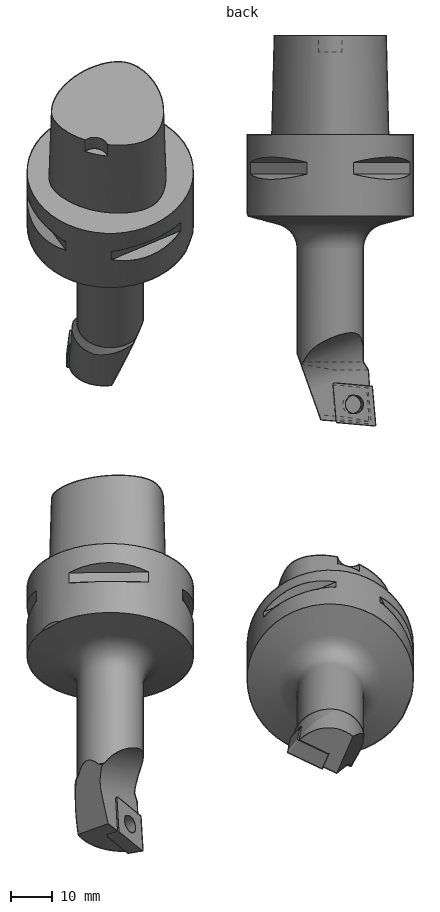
import cadquery as cq
import math

TOP_Z = 94.0
FLANGE_TOP_Z = 70.1
FLANGE_BOTTOM_Z = 50.6
HEAD_CHAMFER_TOP_Z = 15.4
HEAD_CHAMFER_BOTTOM_Z = 13.4

LOBE_RADIUS = 14.1
LOBE_RISE = 0.89
TAPER_PER_LENGTH = 1 / 40
LOBE_SIDES = 6
SPLINE_STEPS = 12
NOTCH_RADIUS = 3.3
NOTCH_CENTER_Y = -14.2
NOTCH_DEPTH = 4.0

FLANGE_RADIUS = 40.0 / 2
FLANGE_CONE_ANGLE = 15.0
NECK_FILLET = 6.0
SHANK_RADIUS = 16.0 / 2
SLOT_Z = 62.0
SLOT_FLOOR_DISTANCE = 17.6
SLOT_FLOOR_HEIGHT = 2.8
SLOT_MOUTH_HEIGHT = 5.4
SLOT_COUNT = 4

HEAD_RADIUS = 9.1
HEAD_STOCK = 0.9
HEAD_OFFSET_X = -0.9
HEAD_CONE_TOP_RADIUS = 9.2
HEAD_CONE_ANGLE = 4.0
BACK_ANGLE = 19.6
BACK_START_Z = 17.5
END_SLOPE_X = 0.09
END_SLOPE_Y = 0.12
END_Z = 0.42
FLUTE_RADIUS = 11.3
FLUTE_TANGENT_Z = 10.5
FLUTE_TILT = 20.0
CUT_SIZE = 37.6

TIP_X = -11.0
RAKE_ANGLE = 9.0
INSERT_PROUD = 0.5
INSERT_EDGE = 9.7
INSERT_LEAN = 5.0
INSERT_THICKNESS = 3.95
INSERT_CLEARANCE = 7.0
INSERT_NOSE_RADIUS = 0.4
INSERT_HOLE_DIAMETER = 4.4

HALF_NOSE_ANGLE = math.radians(45 - INSERT_LEAN)
TIP_Z = INSERT_NOSE_RADIUS * (1 - math.sin(math.pi / 4) / math.sin(HALF_NOSE_ANGLE))

RAKE_COS = math.cos(math.radians(RAKE_ANGLE))
RAKE_SIN = math.sin(math.radians(RAKE_ANGLE))


def lobed_outline(height):
    """Closed constant-width curve with three lobes, one of them on +Y."""
    radius = LOBE_RADIUS - TAPER_PER_LENGTH * (height - FLANGE_TOP_Z)

    def point(angle):
        along = radius * math.cos(angle) + LOBE_RISE * (2 * math.cos(2 * angle) - math.cos(4 * angle))
        across = radius * math.sin(angle) - LOBE_RISE * (2 * math.sin(2 * angle) + math.sin(4 * angle))
        return cq.Vector(-across, along, height)

    span = 2 * math.pi / LOBE_SIDES
    edges = []
    for index in range(LOBE_SIDES):
        start = (index - 0.5) * span
        points = [point(start + span * step / SPLINE_STEPS) for step in range(SPLINE_STEPS + 1)]
        edges.append(cq.Edge.makeSpline(points))
    return cq.Wire.assembleEdges(edges)


def make_coupling():
    outlines = [lobed_outline(FLANGE_TOP_Z), lobed_outline(TOP_Z)]
    taper = cq.Workplane(cq.Solid.makeLoft(outlines, True))
    notch = (
        cq.Workplane("XY", origin=(0, NOTCH_CENTER_Y, TOP_Z - NOTCH_DEPTH))
        .circle(NOTCH_RADIUS)
        .extrude(NOTCH_DEPTH)
    )
    return taper.cut(notch)


def make_flange_and_shank():
    """Revolved flange, cone, neck fillet and shank."""
    cone_angle = math.radians(FLANGE_CONE_ANGLE)
    corner_z = FLANGE_BOTTOM_Z - (FLANGE_RADIUS - SHANK_RADIUS) * math.tan(cone_angle)
    tangent_length = NECK_FILLET * math.tan((math.pi / 2 - cone_angle) / 2)
    fillet_x = SHANK_RADIUS + NECK_FILLET
    fillet_z = corner_z - tangent_length
    mid_angle = math.pi - (math.pi / 2 - cone_angle) / 2
    fillet_middle = (
        fillet_x + NECK_FILLET * math.cos(mid_angle),
        fillet_z + NECK_FILLET * math.sin(mid_angle),
    )
    fillet_top = (
        SHANK_RADIUS + tangent_length * math.cos(cone_angle),
        corner_z + tangent_length * math.sin(cone_angle),
    )
    return (
        cq.Workplane("XZ")
        .moveTo(0, FLANGE_TOP_Z)
        .lineTo(FLANGE_RADIUS, FLANGE_TOP_Z)
        .lineTo(FLANGE_RADIUS, FLANGE_BOTTOM_Z)
        .lineTo(*fillet_top)
        .threePointArc(fillet_middle, (SHANK_RADIUS, fillet_z))
        .lineTo(SHANK_RADIUS, HEAD_CHAMFER_TOP_Z)
        .lineTo(0, HEAD_CHAMFER_TOP_Z)
        .close()
        .revolve(360, (0, 0), (0, 1))
    )


def make_flange_slot(angle):
    """Gripper slot with a flat floor and flaring upper and lower walls."""
    floor = SLOT_FLOOR_HEIGHT / 2
    mouth = SLOT_MOUTH_HEIGHT / 2
    return (
        cq.Workplane("XZ")
        .polyline([
            (SLOT_FLOOR_DISTANCE, SLOT_Z - floor),
            (FLANGE_RADIUS, SLOT_Z - mouth),
            (FLANGE_RADIUS, SLOT_Z + mouth),
            (SLOT_FLOOR_DISTANCE, SLOT_Z + floor),
        ])
        .close()
        .extrude(FLANGE_RADIUS, both=True)
        .rotate((0, 0, 0), (0, 0, 1), angle)
    )


def make_head_blank():
    """Chamfered cone that widens downward, trimmed by an offset cylinder."""
    bottom_z = -HEAD_STOCK
    cone_length = HEAD_CHAMFER_BOTTOM_Z - bottom_z
    bottom_radius = HEAD_CONE_TOP_RADIUS + cone_length * math.tan(math.radians(HEAD_CONE_ANGLE))
    cone = (
        cq.Workplane("XZ")
        .polyline([
            (0, HEAD_CHAMFER_TOP_Z),
            (SHANK_RADIUS, HEAD_CHAMFER_TOP_Z),
            (HEAD_CONE_TOP_RADIUS, HEAD_CHAMFER_BOTTOM_Z),
            (bottom_radius, bottom_z),
            (0, bottom_z),
        ])
        .close()
        .revolve(360, (0, 0), (0, 1))
    )
    cylinder = (
        cq.Workplane("XY", origin=(HEAD_OFFSET_X, 0, bottom_z))
        .circle(HEAD_RADIUS)
        .extrude(HEAD_CHAMFER_TOP_Z - bottom_z)
    )
    return cone.intersect(cylinder)


def half_space(origin, x_direction, normal):
    """Block that removes everything on the normal's side of a plane."""
    plane = cq.Plane(origin=origin, xDir=x_direction, normal=normal)
    return cq.Workplane(plane).rect(2 * CUT_SIZE, 2 * CUT_SIZE).extrude(CUT_SIZE)


def make_back_cut():
    lean = math.radians(BACK_ANGLE)
    normal = (math.cos(lean), 0, -math.sin(lean))
    return half_space((SHANK_RADIUS, 0, BACK_START_Z), (0, 1, 0), normal)


def make_end_cut():
    return half_space((TIP_X, 0, END_Z), (1, 0, END_SLOPE_X), (END_SLOPE_X, -END_SLOPE_Y, -1))


def make_flute():
    """Rake flat that runs out of the shank through a tangent arc."""
    tilt = math.radians(FLUTE_TILT)
    direction = (math.cos(tilt) * RAKE_COS, math.cos(tilt) * RAKE_SIN, -math.sin(tilt))
    flat_y = (-TIP_X * RAKE_SIN - INSERT_PROUD) / RAKE_COS
    origin = (0, flat_y, FLUTE_TANGENT_Z)
    plane = cq.Plane(origin=origin, xDir=(-RAKE_SIN, RAKE_COS, 0), normal=direction)
    arc_middle = (
        FLUTE_RADIUS * (1 - math.cos(math.pi / 4)),
        FLUTE_RADIUS * math.sin(math.pi / 4),
    )
    return (
        cq.Workplane(plane)
        .moveTo(0, -CUT_SIZE)
        .lineTo(0, 0)
        .threePointArc(arc_middle, (FLUTE_RADIUS, FLUTE_RADIUS))
        .lineTo(FLUTE_RADIUS, -CUT_SIZE)
        .close()
        .extrude(CUT_SIZE, both=True)
    )


def insert_plane():
    """Plane of the insert's cutting face, facing into the head."""
    return cq.Plane(
        origin=(TIP_X, 0, TIP_Z),
        xDir=(RAKE_COS, RAKE_SIN, 0),
        normal=(RAKE_SIN, -RAKE_COS, 0),
    )


def insert_corners():
    lean = math.radians(INSERT_LEAN)
    long_step = INSERT_EDGE * math.cos(lean)
    short_step = INSERT_EDGE * math.sin(lean)
    return [
        (0, 0),
        (long_step, short_step),
        (long_step + short_step, long_step + short_step),
        (short_step, long_step),
    ]


def make_insert_blank():
    outline = cq.Workplane(insert_plane()).polyline(insert_corners()).close()
    blank = outline.extrude(INSERT_THICKNESS, taper=INSERT_CLEARANCE)
    corner_edges = blank.edges().filter(lambda edge: edge.Length() < INSERT_EDGE / 2)
    return corner_edges.fillet(INSERT_NOSE_RADIUS)


def make_insert():
    far_corner = insert_corners()[2]
    hole = (
        cq.Workplane(insert_plane())
        .center(far_corner[0] / 2, far_corner[1] / 2)
        .circle(INSERT_HOLE_DIAMETER / 2)
        .extrude(INSERT_THICKNESS)
    )
    return make_insert_blank().cut(hole)


def make_holder():
    holder = make_flange_and_shank().union(make_coupling()).union(make_head_blank())
    for index in range(SLOT_COUNT):
        holder = holder.cut(make_flange_slot(45 + index * 360 / SLOT_COUNT))
    holder = holder.cut(make_back_cut()).cut(make_end_cut()).cut(make_flute())
    return holder.cut(make_insert_blank())


holder = make_holder()
insert = make_insert()
result = cq.Compound.makeCompound([holder.val(), insert.val()])